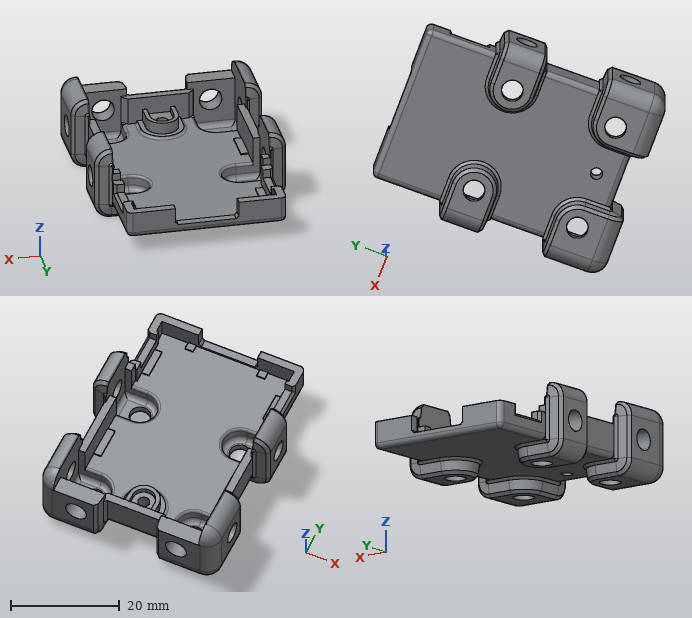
import cadquery as cq

overall_width = 36.0
overall_length = 46.35
overall_height = 14.0
lug_depth = 3.0
tray_half = overall_width / 2 - lug_depth
tray_front = lug_depth
tray_bottom = lug_depth
tray_edge_radius = 1.0

floor_top = 4.35
wall_top = 9.55
back_wall_top = 8.1
rear_section_start = 33.0
wall = 1.58
thick_wall = 1.95
thick_wall_end = 42.45
cavity_half = tray_half - wall
cavity_front = tray_front + wall
cavity_back = overall_length - wall

root_half = 5.0
root_chamfer = 0.5
side_half = 4.45
tip_half = 4.15
tip_chamfer = 0.65
lug_x = 10.15
corner_lug_y = 7.75
rear_lug_y = corner_lug_y + 2 * lug_x
lug_straight_top = overall_height - lug_depth
lug_wall = 3.25
lug_inner_x = overall_width / 2 - lug_wall

well_radius = 3.35
well_floor = 1.4
well_bottom_fillet = 1.0
well_rim_radius = 0.45
rim_margin = 0.45
front_wall_bevel = 1.05

lug_hole_diameter = 4.0
front_hole_diameter = 4.2
hole_z = overall_height / 2

boss_radius = 3.05
boss_top = 7.1
boss_base_radius = 4.05
boss_base_fillet = 0.5
boss_pocket_radius = 2.22
boss_pocket_depth = 1.0
boss_hole_diameter = 2.2

notch_front, notch_back = 34.75, 41.55
notch_bottom = 6.45
notch_chamfer = 0.5
back_opening_half = 6.0
back_opening_bottom = 4.77
back_opening_chamfer = 0.5

pad_height = 0.25
pad_depth = 1.5
rear_side_pad_start, rear_side_pad_end = 35.0, 40.8
front_side_pad_start, front_side_pad_end = 14.8, 21.0
back_pad_inner, back_pad_outer = 6.45, 8.1

X, Y, Z = cq.Vector(1, 0, 0), cq.Vector(0, 1, 0), cq.Vector(0, 0, 1)


def box(x0, x1, y0, y1, z0, z1):
    return cq.Workplane("XY").box(x1 - x0, y1 - y0, z1 - z0, centered=False).translate((x0, y0, z0))


def both_sides(solid):
    """The solid together with its mirror image across the middle plane."""
    return solid.union(solid.mirror("YZ"))


def lug_profile(left_end=None, sink=0.0):
    """Width along local x, outward along local y; a left_end replaces the drafted left side."""
    right = [
        (root_half, 0),
        (side_half, root_chamfer),
        (tip_half, lug_depth - tip_chamfer),
        (tip_half - tip_chamfer, lug_depth),
    ]
    if sink:
        right.insert(0, (root_half, -sink))
    if left_end is None:
        left = [(-x, y) for x, y in reversed(right)]
    else:
        left = [(left_end, lug_depth), (left_end, -sink)]
    return right + left


def lug_section(origin, across, outward, left_end, sink):
    plane = cq.Plane(origin, across, across.cross(outward))
    return cq.Workplane(plane).polyline(lug_profile(left_end, sink)).close()


def lug_leg(origin, across, outward, length, left_end=None):
    return lug_section(origin, across, outward, left_end, tray_edge_radius).extrude(length)


def lug_roll(origin, across, outward, left_end=None):
    return lug_section(origin, across, outward, left_end, 0).revolve(90, (0, 0), (1, 0))


def lug_bottom_end(y):
    """Round end of a lug under the tray, centred on its hole."""
    plane = cq.Plane((-lug_x, y, tray_bottom), X, Y)
    half_profile = cq.Workplane(plane).polyline(lug_profile(0, tray_edge_radius)).close()
    return half_profile.revolve(360, (0, 0), (0, 1))


def side_lug(y, left_end=None):
    low = cq.Vector(-tray_half, y, tray_bottom)
    high = cq.Vector(-tray_half, y, lug_straight_top)
    under_hole = cq.Vector(-lug_x, y, tray_bottom)
    lug = lug_leg(low, Y, -X, lug_straight_top - tray_bottom, left_end)
    lug = lug.union(lug_roll(high, Y, -X, left_end))
    lug = lug.union(lug_leg(high, Y, Z, tray_half - lug_inner_x, left_end))
    lug = lug.union(lug_roll(low, Y, -Z, left_end))
    lug = lug.union(lug_leg(under_hole, Y, -Z, tray_half - lug_x, left_end))
    return lug.union(lug_bottom_end(y))


def front_lug():
    left_end = lug_x - tray_half
    high = cq.Vector(-lug_x, tray_front, lug_straight_top)
    low = cq.Vector(-lug_x, tray_front, tray_bottom)
    lug = lug_leg(high, X, -Y, lug_straight_top - tray_bottom, left_end)
    root_above_wall = box(side_half - lug_x, 0, 0, tray_front + tray_edge_radius, wall_top, overall_height)
    lug = lug.cut(root_above_wall).union(lug_roll(low, X, -Y, left_end))
    return lug.union(lug_leg(low, X, -Z, corner_lug_y - tray_front, left_end))


def corner_lug():
    lug = side_lug(corner_lug_y, tray_front - corner_lug_y).union(front_lug())
    low = (-tray_half, tray_front, tray_bottom)
    high = (-tray_half, tray_front, lug_straight_top)
    edge = cq.Workplane("XY", origin=low).circle(lug_depth).extrude(lug_straight_top - tray_bottom)
    for corner in (low, high):
        edge = edge.union(cq.Workplane("XY", origin=corner).sphere(lug_depth))
    return lug.union(edge)


def tray_block():
    block = box(-tray_half, tray_half, tray_front, overall_length, tray_bottom, wall_top)
    block = block.edges("|Z and >Y").fillet(tray_edge_radius)
    return block.faces("<Z").edges().fillet(tray_edge_radius)


def cavity():
    """Space between the walls and above them."""
    top = overall_height
    space = box(-cavity_half, cavity_half, cavity_front, cavity_back, floor_top, top)
    space = space.union(box(-lug_inner_x, lug_inner_x, lug_wall, overall_length, wall_top, top))
    space = space.union(box(-lug_inner_x, lug_inner_x, 0, overall_length, lug_straight_top, top))
    rear = box(-tray_half, tray_half, rear_section_start, overall_length, back_wall_top, wall_top)
    space = space.union(rear)
    for side in (-1, 1):
        outer = side * cavity_half
        inner = side * (tray_half - thick_wall)
        thickening = box(min(outer, inner), max(outer, inner), rear_section_start, thick_wall_end,
                         floor_top, back_wall_top)
        space = space.cut(thickening)
    return space


def well_outline(y, front_end):
    """Outline of a well; a front_end replaces the round front half with a square one."""
    left_end = lug_x - lug_inner_x
    arc = well_radius * 0.5 ** 0.5
    outline = (
        cq.Workplane("XY", origin=(-lug_x, y, well_floor))
        .moveTo(left_end, well_radius)
        .lineTo(0, well_radius)
        .threePointArc((arc, arc), (well_radius, 0))
    )
    if front_end is None:
        outline = outline.threePointArc((arc, -arc), (0, -well_radius)).lineTo(left_end, -well_radius)
    else:
        outline = outline.lineTo(well_radius, front_end).lineTo(left_end, front_end)
    return outline.close()


def well(y, front_end=None):
    """Pocket from the lug floor up, also cutting away the wall beside it."""
    pocket = well_outline(y, front_end).extrude(wall_top - well_floor)
    return pocket.faces("<Z").edges().fillet(well_bottom_fillet)


def round_well_rims(body):
    """Round the edges where the floor drops into the wells."""
    for side in (-1, 1):
        rims = cq.selectors.BoxSelector(
            (side * (cavity_half - rim_margin), cavity_front + rim_margin, floor_top - rim_margin),
            (side * boss_base_radius, rear_lug_y + well_radius + rim_margin, floor_top + rim_margin),
        )
        body = body.edges(rims).fillet(well_rim_radius)
    return body


def front_wall_bevels():
    """Slanted ends of the front wall, where it meets the corner wells."""
    inner_end = well_radius - lug_x
    bevel = (
        cq.Workplane("XY", origin=(inner_end, cavity_front, floor_top))
        .polyline([(0, 0), (front_wall_bevel, 0), (0, -front_wall_bevel)])
        .close()
        .extrude(wall_top - floor_top)
    )
    return both_sides(bevel)


def side_notches():
    length = notch_back - notch_front
    middle = (notch_front + notch_back) / 2
    height = back_wall_top - notch_bottom
    notch = box(-tray_half, -cavity_half + wall, notch_front, notch_back, notch_bottom, back_wall_top)
    outer_end = length / 2 + notch_chamfer
    flare = (
        cq.Workplane(cq.Plane((-tray_half, middle, back_wall_top), Y, X))
        .rect(2 * outer_end, 2 * (height + notch_chamfer))
        .workplane(offset=notch_chamfer)
        .rect(length, 2 * height)
        .loft()
    )
    return both_sides(notch.union(flare))


def back_opening():
    bottom_half = back_opening_half - back_opening_chamfer
    bevel_top = back_opening_bottom + back_opening_chamfer
    return (
        cq.Workplane("XZ", origin=(0, overall_length, 0))
        .polyline([
            (-bottom_half, back_opening_bottom),
            (bottom_half, back_opening_bottom),
            (back_opening_half, bevel_top),
            (back_opening_half, back_wall_top),
            (-back_opening_half, back_wall_top),
            (-back_opening_half, bevel_top),
        ])
        .close()
        .extrude(wall)
    )


def lug_holes():
    """Holes across the wells: sideways and down in every lug, and forward in the corner lugs."""
    reach = overall_width / 2 - lug_x
    holes = cq.Workplane(cq.Plane((-lug_x, corner_lug_y, hole_z), X, -Y))
    holes = holes.circle(front_hole_diameter / 2).extrude(corner_lug_y)
    for y in (corner_lug_y, rear_lug_y):
        sideways = cq.Workplane(cq.Plane((-lug_x, y, hole_z), Y, -X))
        holes = holes.union(sideways.circle(lug_hole_diameter / 2).extrude(reach))
        down = cq.Workplane("XY", origin=(-lug_x, y, 0))
        holes = holes.union(down.circle(lug_hole_diameter / 2).extrude(floor_top))
    return both_sides(holes)


def boss_column(radius, bottom, top):
    column = cq.Workplane("XY", origin=(0, corner_lug_y, bottom)).circle(radius).extrude(top - bottom)
    return column.union(box(-radius, radius, cavity_front, corner_lug_y, bottom, top))


def boss_base_half():
    """Half cross-section of a low plinth with a concave fillet down to the floor."""
    foot_radius = boss_base_radius + boss_base_fillet
    arc = boss_base_fillet * (1 - 0.5 ** 0.5)
    return (
        cq.Workplane(cq.Plane((0, corner_lug_y, floor_top), X, -Y))
        .lineTo(foot_radius, 0)
        .threePointArc((boss_base_radius + arc, arc), (boss_base_radius, boss_base_fillet))
        .lineTo(0, boss_base_fillet)
        .close()
    )


def boss_with_base():
    round_end = boss_base_half().revolve(360, (0, 0), (0, 1))
    straight = both_sides(boss_base_half().extrude(corner_lug_y - cavity_front))
    return round_end.union(straight).union(boss_column(boss_radius, floor_top, boss_top))


def boss_cuts():
    pocket = boss_column(boss_pocket_radius, boss_top - boss_pocket_depth, boss_top)
    hole = cq.Workplane("XY", origin=(0, corner_lug_y, 0)).circle(boss_hole_diameter / 2).extrude(boss_top)
    return pocket.union(hole)


def floor_pads():
    top = floor_top + pad_height
    beside_notch = thick_wall - tray_half
    pads = box(beside_notch, beside_notch + pad_depth, rear_side_pad_start, rear_side_pad_end, floor_top, top)
    pads = pads.union(box(-cavity_half, pad_depth - cavity_half, front_side_pad_start, front_side_pad_end,
                          floor_top, top))
    pads = pads.union(box(-back_pad_outer, -back_pad_inner, cavity_back - pad_depth, cavity_back,
                          floor_top, top))
    return both_sides(pads)


body = both_sides(tray_block().union(corner_lug()).union(side_lug(rear_lug_y)))
body = body.cut(cavity())
corner_well = well(corner_lug_y, front_end=lug_wall - corner_lug_y)
body = body.cut(both_sides(corner_well.union(well(rear_lug_y))))
body = round_well_rims(body)
body = body.union(boss_with_base()).union(floor_pads())
body = body.cut(front_wall_bevels()).cut(side_notches()).cut(back_opening())
result = body.cut(lug_holes()).cut(boss_cuts())